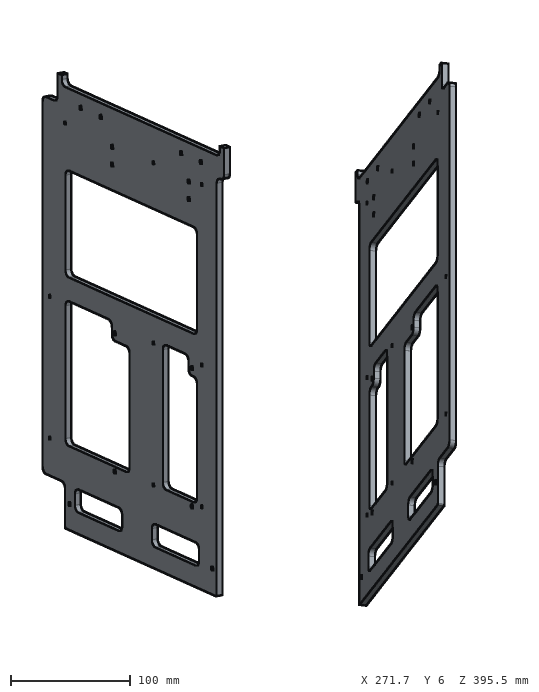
import cadquery as cq

width = 271.7
height = 395.5
thickness = 6.0

main_right = 260.5
foot_left = 33.5
foot_height = 40.0
top_edge = 386.5
left_shoulder = 370.0
right_shoulder = 367.0
horn_width = 6.7
left_horn = 22.0

corner_radius = 5.0
edge_radius = 1.0
sharp = 0

window_left = 34.5
window_right = 231.0
upper_window_bottom = 221.0
upper_window_top = 314.5
lower_window_bottom = 73.5
lower_window_top = 200.0
notch_bottom = 183.5
left_window_right = 130.0
left_notch = 103.5
right_window_left = 180.0
right_notch = 218.5

slot_length = 70.5
slot_bottom = 19.0
slot_top = 39.0
slot_lefts = (48.5, 163.7)

small_hole = 2.5
large_hole = 3.5
small_columns = (165.7, 238.0)
small_lower_left = 10.5
small_top_left = 33.5
small_top_row = 354.8
small_lower_rows = (72.8, 197.0)
horn_row = 374.0
horn_columns = (57.0, 87.0, 207.2, 237.0)
pair_columns = (104.0, 218.7)
pair_rows = (337.0, 352.5)
notch_hole_columns = (108.0, 223.5)
notch_hole_rows = (69.2, 190.2)
foot_hole_row = 23.0
foot_hole_columns = (40.5, 254.0)


def rounded_prism(corners):
    """Extrude a closed outline of (x, z, radius) corners through the plate thickness."""
    outline = [(x, z) for x, z, _ in corners]
    prism = cq.Workplane("XZ").polyline(outline).close().extrude(-thickness)
    for x, z, radius in corners:
        if radius > 0:
            middle = (x, thickness / 2, z)
            prism = prism.edges(cq.selectors.NearestToPointSelector(middle)).fillet(radius)
    return prism


def rectangle(left, right, bottom, top):
    """Opening with four equally rounded corners."""
    corners = ((left, bottom), (right, bottom), (right, top), (left, top))
    return rounded_prism([(x, z, corner_radius) for x, z in corners])


def notched_rectangle(left, right, notch):
    """Lower window whose upper right corner is left solid beyond the notch."""
    corners = (
        (left, lower_window_bottom),
        (right, lower_window_bottom),
        (right, notch_bottom),
        (notch, notch_bottom),
        (notch, lower_window_top),
        (left, lower_window_top),
    )
    return rounded_prism([(x, z, corner_radius) for x, z in corners])


def drill(plate, diameter, centers):
    """Through holes along Y."""
    holes = cq.Workplane("XZ").pushPoints(centers).circle(diameter / 2).extrude(-thickness)
    return plate.cut(holes)


def grid(columns, rows):
    """Every (x, z) crossing of the columns and rows."""
    return [(x, z) for x in columns for z in rows]


plate = rounded_prism([
    (foot_left, 0, edge_radius),
    (main_right, 0, edge_radius),
    (main_right, right_shoulder, corner_radius),
    (width, right_shoulder, corner_radius),
    (width, height, sharp),
    (width - horn_width, height, sharp),
    (width - horn_width, top_edge, corner_radius),
    (left_horn + horn_width, top_edge, corner_radius),
    (left_horn + horn_width, height, sharp),
    (left_horn, height, edge_radius),
    (left_horn, left_shoulder, corner_radius),
    (0, left_shoulder, corner_radius),
    (0, foot_height, corner_radius),
    (foot_left, foot_height, corner_radius),
])

plate = plate.cut(rectangle(window_left, window_right, upper_window_bottom, upper_window_top))
plate = plate.cut(notched_rectangle(window_left, left_window_right, left_notch))
plate = plate.cut(notched_rectangle(right_window_left, window_right, right_notch))
for slot_left in slot_lefts:
    plate = plate.cut(rectangle(slot_left, slot_left + slot_length, slot_bottom, slot_top))

plate = drill(plate, small_hole, grid((small_top_left,) + small_columns, (small_top_row,)))
plate = drill(plate, small_hole, grid((small_lower_left,) + small_columns, small_lower_rows))
plate = drill(plate, large_hole, grid(horn_columns, (horn_row,)))
plate = drill(plate, large_hole, grid(pair_columns, pair_rows))
plate = drill(plate, large_hole, grid(notch_hole_columns, notch_hole_rows))
plate = drill(plate, large_hole, grid(foot_hole_columns, (foot_hole_row,)))

result = plate